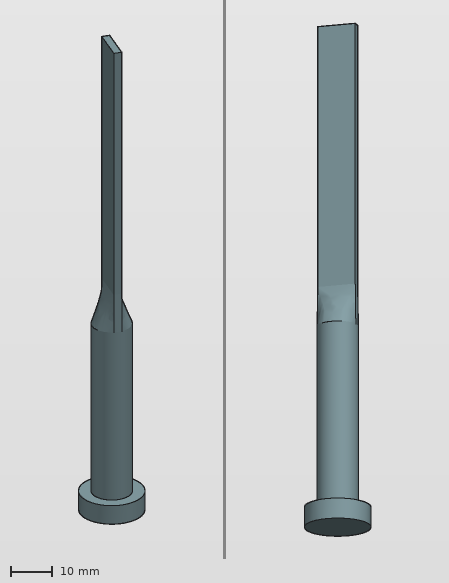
import cadquery as cq
import math

HEAD_DIAMETER = 16.0
HEAD_HEIGHT = 5.0
SHAFT_DIAMETER = 10.0
SHAFT_TOP = 50.0
TAPER_HEIGHT = 10.0
BLADE_WIDTH = 9.5
BLADE_THICKNESS = 2.0
OVERALL_LENGTH = 125.0

SHAFT_RADIUS = SHAFT_DIAMETER / 2
TAPER_TOP = SHAFT_TOP + TAPER_HEIGHT


def make_head():
    """Disc-shaped head standing on the XY plane."""
    return cq.Workplane("XY").circle(HEAD_DIAMETER / 2).extrude(HEAD_HEIGHT)


def make_shaft():
    """Round shaft from the top of the head to the start of the taper."""
    shaft_base = cq.Workplane("XY", origin=(0, 0, HEAD_HEIGHT))
    return shaft_base.circle(SHAFT_RADIUS).extrude(SHAFT_TOP - HEAD_HEIGHT)


def make_taper():
    """Ruled transition from the round shaft to the blade rectangle.

    The shaft rim is split into four arcs, one for each side of the blade.
    The splits lie in line with the blade's broad faces, so its narrow sides
    run almost straight down to the rim.
    """
    split_y = BLADE_THICKNESS / 2
    split_x = math.sqrt(SHAFT_RADIUS**2 - split_y**2)
    rim = (
        cq.Workplane("XY", origin=(0, 0, SHAFT_TOP))
        .moveTo(-split_x, -split_y)
        .threePointArc((0, -SHAFT_RADIUS), (split_x, -split_y))
        .threePointArc((SHAFT_RADIUS, 0), (split_x, split_y))
        .threePointArc((0, SHAFT_RADIUS), (-split_x, split_y))
        .threePointArc((-SHAFT_RADIUS, 0), (-split_x, -split_y))
        .close()
    )
    blade_section = rim.workplane(offset=TAPER_HEIGHT).rect(BLADE_WIDTH, BLADE_THICKNESS)
    return blade_section.loft(ruled=True)


def make_blade():
    """Flat blade from the top of the taper to the tip."""
    blade_base = cq.Workplane("XY", origin=(0, 0, TAPER_TOP))
    return blade_base.rect(BLADE_WIDTH, BLADE_THICKNESS).extrude(OVERALL_LENGTH - TAPER_TOP)


pin = make_head().union(make_shaft()).union(make_taper()).union(make_blade())
result = pin.solids()